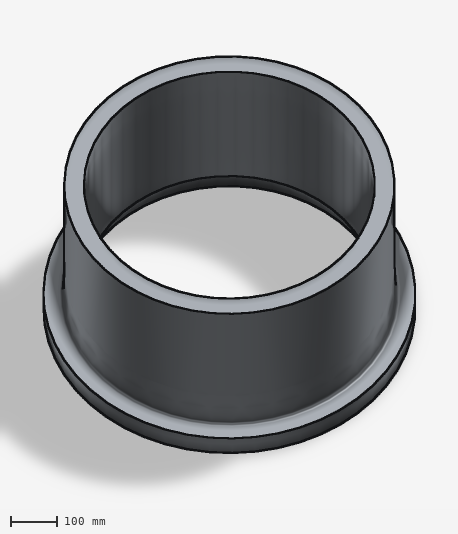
import cadquery as cq

flange_radius = 400.0
total_height = 422.0
bore_radius = 313.0

flange_thickness = 50.0
fillet_radius = 10.0
hub_top = 140.0

flare_height = 64.0
flare_widening = 23.0
flare_mouth_radius = bore_radius + flare_widening

pipe_radius = 355.0
hub_base_radius = 358.0
fillet_top = flange_thickness + fillet_radius
fillet_foot_radius = hub_base_radius + fillet_radius

section = (
    cq.Workplane("XZ")
    .moveTo(flare_mouth_radius, 0)
    .lineTo(flange_radius, 0)
    .lineTo(flange_radius, flange_thickness)
    .lineTo(fillet_foot_radius, flange_thickness)
    .radiusArc((hub_base_radius, fillet_top), fillet_radius)
    .lineTo(pipe_radius, hub_top)
    .lineTo(pipe_radius, total_height)
    .lineTo(bore_radius, total_height)
    .lineTo(bore_radius, flare_height)
    .close()
)

result = section.revolve(360, (0, 0, 0), (0, 1, 0))